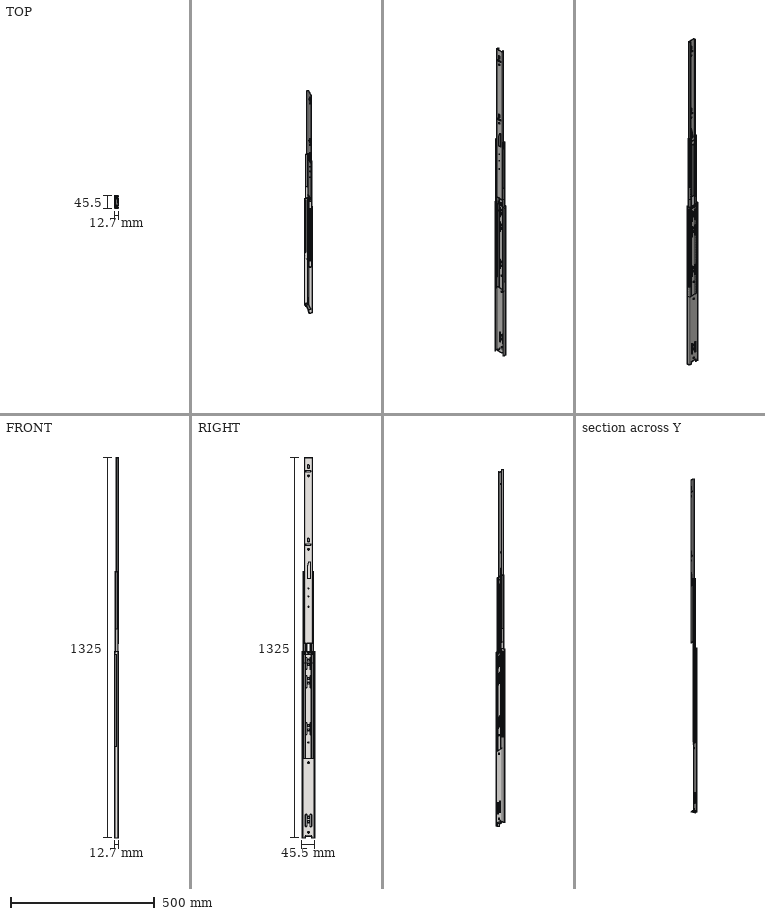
import cadquery as cq


slide_depth = 12.7
slide_width = 45.46
member_length = 650.0
extended_length = 1325.0
sheet = 1.2
ball_gap = 3.0

outer_half = slide_width / 2
outer_inside = outer_half - sheet
outer_bend = 2.2
outer_mouth_half = 19.0

middle_top = 928.0
middle_bottom = middle_top - member_length
middle_web_x = 2.2
middle_front_x = 12.2
middle_half = 18.4
middle_inside = middle_half - sheet
middle_bend = 1.8
middle_mouth_half = 15.2

inner_length = 647.0
inner_bottom = extended_length - inner_length
inner_back_x = 4.6
inner_half = middle_inside - ball_gap
inner_bend = 1.8
inner_mouth_half = 10.0
inner_web_x = slide_depth - sheet

step_half = 9.5
step_offset = 0.6
step_front_x = middle_web_x + sheet + step_offset
web_slot_half = 5.5
web_slot_top = 898.0
web_slot_bottom = 645.0
web_notch_half = 8.5
web_notch_depth = 13.0

station_heights = [65.0, 385.0, 548.0, 612.0]
station_hole_diameter = 7.0
station_hole_offset = 8.0
side_slot_center = 8.3
side_slot_width = 5.2
side_slot_top = 18.0
side_slot_bottom = -25.0

screw_hole_diameter = 5.0
screw_hole_heights = [20.0, 263.0, 333.0]

tab_half = 11.0
tab_bottom = 6.0
tab_reach = 11.0
tab_bend = 4.0

stop_half = 18.5
stop_height = 10.0
stop_window_centers = [-15.0, 0.0, 15.0]
stop_window_width = 4.0
stop_window_height = 7.0

inner_group_heights = [1022.0, 1278.0]
inner_hole_offset = 16.0
inner_slot_length = 13.0
inner_slot_width = 5.0
cross_slot_length = 18.0
cross_slot_width = 4.0
rivet_hole_diameter = 2.0
rivet_hole_heights = [806.0, 842.0, 870.0]

cage_bridge_length = 30.0
outer_cage_top = member_length - stop_height
outer_cage_length = 320.0
outer_cage_front_x = 6.2
outer_cage_bridge_half = 20.4
inner_cage_top = web_slot_top + cage_bridge_length
inner_cage_length = 200.0
inner_cage_front_x = 10.0
inner_cage_bridge_half = 15.5

lever_back_x = 10.4
lever_bottom = 905.0
lever_shoulder = 946.0
lever_top = 962.0
lever_left = 6.5
lever_tip_right = 1.0
lever_right = -4.0


def block(x_start, x_end, y_start, y_end, z_start, z_end):
    """Box between two X, two Y and two Z positions."""
    size = (x_end - x_start, y_end - y_start, z_end - z_start)
    corner = (x_start, y_start, z_start)
    return cq.Workplane("XY").box(*size, centered=False).translate(corner)


def web_opening(x_start, y, z, diameter, length=0.0, angle=90):
    """Cutter along X for a round hole, or for a slot if a length is given."""
    sketch = cq.Workplane("YZ").center(y, z)
    if length:
        sketch = sketch.slot2D(length, diameter, angle)
    else:
        sketch = sketch.circle(diameter / 2)
    return sketch.extrude(sheet).translate((x_start, 0, 0))


def channel(x_start, x_end, half, bend, z_start, z_end):
    """Closed box section with rounded corners, ready for its mouth to be cut."""
    outside = block(x_start, x_end, -half, half, z_start, z_end)
    outside = outside.edges("|Z").fillet(bend)
    inside_half = half - sheet
    inside = block(x_start + sheet, x_end - sheet, -inside_half, inside_half, z_start, z_end)
    return outside.cut(inside.edges("|Z").fillet(bend - sheet))


def mounting_station(z):
    """Two screw holes between a pair of upright slots."""
    slot_length = side_slot_top - side_slot_bottom
    slot_z = z + (side_slot_top + side_slot_bottom) / 2
    cutters = cq.Workplane("YZ")
    for side in (-1, 1):
        cutters = cutters.add(web_opening(0, side * side_slot_center, slot_z, side_slot_width, slot_length))
        cutters = cutters.add(web_opening(0, 0, z + side * station_hole_offset, station_hole_diameter))
    return cutters.combine()


def make_outer_channel():
    body = channel(0, slide_depth, outer_half, outer_bend, 0, member_length)
    mouth_x = slide_depth - sheet
    body = body.cut(block(mouth_x, slide_depth, -outer_mouth_half, outer_mouth_half, 0, member_length))
    for z in station_heights:
        body = body.cut(mounting_station(z))
    for z in screw_hole_heights:
        body = body.cut(web_opening(0, 0, z, screw_hole_diameter))
    tab_top = tab_bottom + tab_bend
    body = body.cut(block(0, sheet, -tab_half, tab_half, 0, tab_top))
    tab = (
        cq.Workplane("XZ")
        .moveTo(0, tab_top)
        .radiusArc((tab_bend, tab_bottom), -tab_bend)
        .lineTo(tab_reach, tab_bottom)
        .lineTo(tab_reach, tab_bottom + sheet)
        .lineTo(tab_bend, tab_bottom + sheet)
        .radiusArc((sheet, tab_top), tab_bend - sheet)
        .close()
        .extrude(tab_half, both=True)
    )
    body = body.union(tab)
    return body.cut(block(0, sheet, -stop_half, stop_half, member_length - stop_height, member_length))


def make_end_stop():
    z_start = member_length - stop_height
    z_middle = member_length - stop_height / 2
    body = block(0, sheet, -stop_half, stop_half, z_start, member_length)
    windows = cq.Workplane("YZ").pushPoints([(y, z_middle) for y in stop_window_centers])
    return body.cut(windows.rect(stop_window_width, stop_window_height).extrude(sheet))


def make_middle_channel():
    body = channel(
        middle_web_x, middle_front_x, middle_half, middle_bend, middle_bottom, middle_top
    )
    mouth_x = middle_front_x - sheet
    body = body.cut(
        block(mouth_x, middle_front_x, -middle_mouth_half, middle_mouth_half, middle_bottom, middle_top)
    )
    step_back_x = middle_web_x + step_offset
    body = body.cut(block(middle_web_x, step_back_x, -step_half, step_half, middle_bottom, middle_top))
    inside_x = middle_web_x + sheet
    step_inside = step_half + sheet
    body = body.union(block(inside_x, step_front_x, -step_inside, step_inside, middle_bottom, middle_top))
    body = body.cut(
        block(step_back_x, step_front_x, -web_slot_half, web_slot_half, web_slot_bottom, web_slot_top)
    )
    notch_bottom = middle_top - web_notch_depth
    return body.cut(
        block(step_back_x, step_front_x, -web_notch_half, web_notch_half, notch_bottom, middle_top)
    )


def make_inner_channel():
    body = channel(
        inner_back_x, slide_depth, inner_half, inner_bend, inner_bottom, extended_length
    )
    lip_x = inner_back_x + sheet
    body = body.cut(
        block(inner_back_x, lip_x, -inner_mouth_half, inner_mouth_half, inner_bottom, extended_length)
    )
    for z in inner_group_heights:
        upper_z = z + inner_hole_offset
        lower_z = z - inner_hole_offset
        body = body.cut(web_opening(inner_web_x, 0, upper_z, inner_slot_width, inner_slot_length))
        body = body.cut(web_opening(inner_web_x, 0, z, cross_slot_width, cross_slot_length, 0))
        body = body.cut(web_opening(inner_web_x, 0, lower_z, screw_hole_diameter))
    for z in rivet_hole_heights:
        body = body.cut(web_opening(inner_web_x, 0, z, rivet_hole_diameter))
    return body


def make_cage(back_x, bridge_front_x, front_x, bridge_half, arm_inside, arm_outside, top, length):
    """Two ball strips joined by a thin bridge at their upper end."""
    body = block(back_x, bridge_front_x, -bridge_half, bridge_half, top - cage_bridge_length, top)
    for y in (-arm_outside, arm_inside):
        arm_width = arm_outside - arm_inside
        body = body.union(block(bridge_front_x, front_x, y, y + arm_width, top - length, top))
    return body


def make_release_lever():
    outline = [
        (lever_left, lever_bottom),
        (lever_left, lever_top),
        (lever_tip_right, lever_top),
        (lever_right, lever_shoulder),
        (lever_right, lever_bottom),
    ]
    lever = cq.Workplane("YZ").polyline(outline).close().extrude(inner_web_x - lever_back_x)
    return lever.translate((lever_back_x, 0, 0))


outer_channel = make_outer_channel()
end_stop = make_end_stop()
middle_channel = make_middle_channel()
inner_channel = make_inner_channel()
outer_cage = make_cage(
    sheet, middle_web_x, outer_cage_front_x, outer_cage_bridge_half,
    middle_half, outer_inside, outer_cage_top, outer_cage_length,
)
inner_cage = make_cage(
    step_front_x, inner_back_x, inner_cage_front_x, inner_cage_bridge_half,
    inner_half, middle_inside, inner_cage_top, inner_cage_length,
)
release_lever = make_release_lever()

result = cq.Compound.makeCompound(
    [
        outer_channel.val(),
        end_stop.val(),
        middle_channel.val(),
        inner_channel.val(),
        outer_cage.val(),
        inner_cage.val(),
        release_lever.val(),
    ]
)